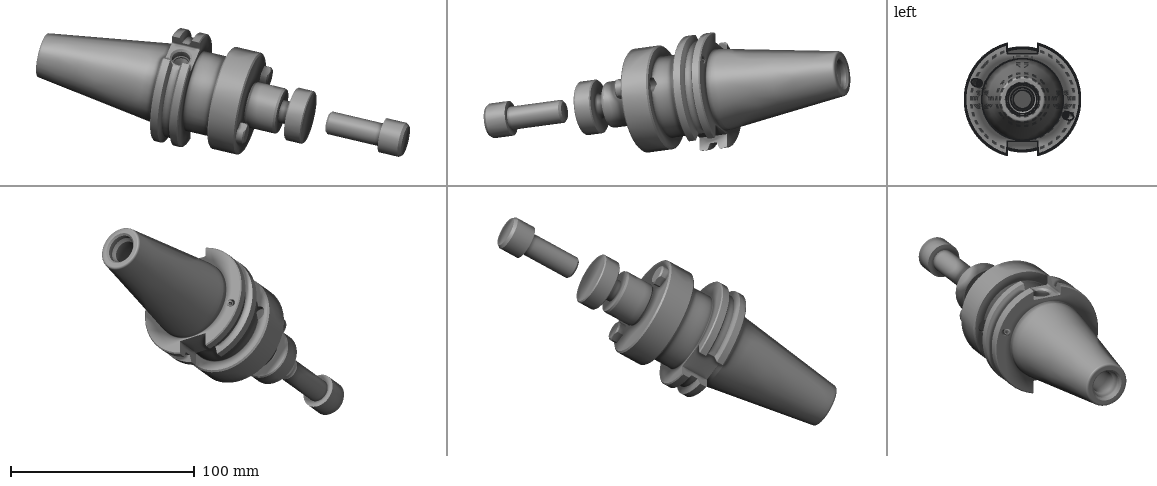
import cadquery as cq
import math


gauge_x = 68.5
gauge_radius = 22.2
neck_radius = 44.6 / 2
taper_slope = 7 / 48
small_end_radius = gauge_radius - taper_slope * gauge_x
small_end_fillet = 1.2

flange_start = 71.5
flange_end = 87.4
flange_radius = 63.3 / 2
flange_chamfer = 0.6
root_fillet = 0.5
groove_x = 79.3
groove_floor_radius = 56.3 / 2
groove_floor_width = 4.0
groove_top_width = 7.0

slot_width = 16.8
top_slot_fillet = 0.8
top_slot_floor = 25.0
bottom_slot_floor = 22.8
marker_hole_x = (flange_start + flange_end) / 2
marker_hole_mouth_radius = 6.0
marker_hole_radius = 5.0
marker_drill_radius = 4.2
marker_drill_depth = 5.5
marker_hole_depth = 4.5

collar_start = 103.2
collar_end = 119.1
collar_radius = 57.0 / 2
collar_chamfer = 0.8
arbor_end = 136.8
arbor_radius = 12.7
arbor_chamfer_length = 1.2
arbor_chamfer_height = 0.5
relief_radius = 12.0
relief_flat_length = 0.6
relief_length = 1.5

bore_mouth_radius = 9.0
bore_radius = 7.9
bore_chamfer = bore_mouth_radius - bore_radius
bore_depth = 4.0
drill_half_angle = 59.0

shank_radius = 12.7 / 2
shank_length = 31.3
shank_tip_chamfer = 1.2
lock_head_start = 142.5
lock_head_end = 152.4
lock_head_radius = 14.7
lock_head_chamfer = 0.6
lock_neck_fillet = 1.2
cap_screw_tip = 163.4
cap_head_end = 207.5
cap_head_radius = 9.5
cap_head_chamfer_length = 1.7
cap_head_chamfer_height = 1.2

key_sides = (1, -1)
key_offset = 21.5
key_radius = 5.6
key_width = 9.5
key_height = 4.4
key_chamfer = 0.8
key_shank_radius = 8.0 / 2
key_shank_end = 105.5
key_shank_chamfer = 0.8
key_hole_end = 102.3

coolant_hole_offset = 26.5
first_coolant_angle = 20.0
coolant_angles = (first_coolant_angle, first_coolant_angle + 180)
coolant_hole_tilt = 45.0
plug_radius = 2.0
plug_chamfer = 0.6
plug_recess = plug_radius - plug_chamfer
plug_length = 4.2
plug_socket_width = 1.9
plug_socket_depth = 2.0


def cone_length(wide_radius, narrow_radius):
    """Length of a drill-point cone between two radii."""
    return (wide_radius - narrow_radius) / math.tan(math.radians(drill_half_angle))


def revolve_about_x(profile):
    """Revolve (x, radius) points about the X axis."""
    return cq.Workplane("XY").polyline(profile).close().revolve(360, (0, 0, 0), (1, 0, 0))


def x_cylinder(start, end, radius):
    return cq.Workplane("YZ", origin=(start, 0, 0)).circle(radius).extrude(end - start)



def holder_blank():
    """Taper, flange, neck, collar and arbor as one turned shape."""
    half_floor = groove_floor_width / 2
    half_top = groove_top_width / 2
    profile = (
        cq.Workplane("XY")
        .moveTo(0, 0)
        .lineTo(0, small_end_radius)
        .lineTo(gauge_x, gauge_radius)
        .lineTo(flange_start - root_fillet, gauge_radius)
        .radiusArc((flange_start, gauge_radius + root_fillet), -root_fillet)
        .lineTo(flange_start, flange_radius - flange_chamfer)
        .lineTo(flange_start + flange_chamfer, flange_radius)
        .lineTo(groove_x - half_top, flange_radius)
        .lineTo(groove_x - half_floor, groove_floor_radius)
        .lineTo(groove_x + half_floor, groove_floor_radius)
        .lineTo(groove_x + half_top, flange_radius)
        .lineTo(flange_end - flange_chamfer, flange_radius)
        .lineTo(flange_end, flange_radius - flange_chamfer)
        .lineTo(flange_end, neck_radius + root_fillet)
        .radiusArc((flange_end + root_fillet, neck_radius), -root_fillet)
        .lineTo(collar_start - root_fillet, neck_radius)
        .radiusArc((collar_start, neck_radius + root_fillet), -root_fillet)
        .lineTo(collar_start, collar_radius - collar_chamfer)
        .lineTo(collar_start + collar_chamfer, collar_radius)
        .lineTo(collar_end - collar_chamfer, collar_radius)
        .lineTo(collar_end, collar_radius - collar_chamfer)
        .lineTo(collar_end, relief_radius)
        .lineTo(collar_end + relief_flat_length, relief_radius)
        .lineTo(collar_end + relief_length, arbor_radius)
        .lineTo(arbor_end - arbor_chamfer_length, arbor_radius)
        .lineTo(arbor_end, arbor_radius - arbor_chamfer_height)
        .lineTo(arbor_end, 0)
        .close()
    )
    blank = profile.revolve(360, (0, 0, 0), (1, 0, 0))
    return blank.faces("<X").edges().fillet(small_end_fillet)


def axial_bore():
    """Chamfered bore in the small end that narrows to the lock screw hole."""
    return revolve_about_x([
        (0, 0),
        (0, bore_mouth_radius),
        (bore_chamfer, bore_radius),
        (bore_depth, bore_radius),
        (bore_depth + bore_radius - shank_radius, shank_radius),
        (arbor_end, shank_radius),
        (arbor_end, 0),
    ])


def driving_slots():
    length = flange_end - flange_start
    depth = flange_radius
    slot = cq.Workplane("XY").box(length, slot_width, depth, centered=(False, True, False))
    top = slot.edges("|X and <Z").fillet(top_slot_fillet).translate((flange_start, 0, top_slot_floor))
    bottom = slot.translate((flange_start, 0, -bottom_slot_floor - depth))
    return top.union(bottom)


def marker_hole():
    """Countersunk, stepped blind hole with a cone bottom, sunk into the floor of the top slot."""
    countersink = marker_hole_mouth_radius - marker_hole_radius
    tip_depth = marker_drill_depth + cone_length(marker_drill_radius, 0)
    profile = [
        (0, 0),
        (marker_hole_mouth_radius, 0),
        (marker_hole_radius, -countersink),
        (marker_hole_radius, -marker_hole_depth),
        (marker_drill_radius, -marker_hole_depth),
        (marker_drill_radius, -marker_drill_depth),
        (0, -tip_depth),
    ]
    hole = cq.Workplane("XZ").polyline(profile).close().revolve(360, (0, 0, 0), (0, 1, 0))
    return hole.translate((marker_hole_x, 0, top_slot_floor))


def key_hole(side):
    """Blind hole for a key shank whose drill point breaks out through the neck."""
    tip = key_hole_end - cone_length(key_shank_radius, 0)
    hole = revolve_about_x([
        (tip, 0),
        (key_hole_end, key_shank_radius),
        (collar_end, key_shank_radius),
        (collar_end, 0),
    ])
    return hole.translate((0, side * key_offset, 0))


def coolant_plane(angle):
    """Plane at the mouth of a coolant hole, its normal tilted outward from the flange face."""
    turn = math.radians(angle)
    tilt = math.radians(coolant_hole_tilt)
    outward = (0, math.cos(turn), math.sin(turn))
    origin = cq.Vector(*outward) * coolant_hole_offset + cq.Vector(flange_start, 0, 0)
    normal = cq.Vector(*outward) * math.sin(tilt) - cq.Vector(math.cos(tilt), 0, 0)
    tangent = cq.Vector(0, -math.sin(turn), math.cos(turn))
    return cq.Plane(origin=origin, xDir=tangent, normal=normal)


def coolant_hole(angle):
    depth = plug_recess + plug_length
    overshoot = 2 * plug_radius
    mouth = cq.Workplane(coolant_plane(angle)).workplane(offset=-depth)
    return mouth.circle(plug_radius).extrude(depth + overshoot)


def make_holder():
    body = holder_blank().cut(axial_bore()).cut(driving_slots()).cut(marker_hole())
    for side in key_sides:
        body = body.cut(key_hole(side))
    for angle in coolant_angles:
        body = body.cut(coolant_hole(angle))
    return body



def make_lock_screw():
    """Disc-headed screw whose shank fills the hole through the arbor."""
    tip = lock_head_start - shank_length
    profile = (
        cq.Workplane("XY")
        .moveTo(tip, 0)
        .lineTo(tip, shank_radius - shank_tip_chamfer)
        .lineTo(tip + shank_tip_chamfer, shank_radius)
        .lineTo(lock_head_start - lock_neck_fillet, shank_radius)
        .radiusArc((lock_head_start, shank_radius + lock_neck_fillet), -lock_neck_fillet)
        .lineTo(lock_head_start, lock_head_radius - lock_head_chamfer)
        .lineTo(lock_head_start + lock_head_chamfer, lock_head_radius)
        .lineTo(lock_head_end - lock_head_chamfer, lock_head_radius)
        .lineTo(lock_head_end, lock_head_radius - lock_head_chamfer)
        .lineTo(lock_head_end, 0)
        .close()
    )
    return profile.revolve(360, (0, 0, 0), (1, 0, 0))


def make_cap_screw():
    head_start = cap_screw_tip + shank_length
    return revolve_about_x([
        (cap_screw_tip, 0),
        (cap_screw_tip, shank_radius - shank_tip_chamfer),
        (cap_screw_tip + shank_tip_chamfer, shank_radius),
        (head_start, shank_radius),
        (head_start, cap_head_radius),
        (cap_head_end - cap_head_chamfer_length, cap_head_radius),
        (cap_head_end, cap_head_radius - cap_head_chamfer_height),
        (cap_head_end, 0),
    ])


def make_key(side):
    """Round key with two flats, on a shank that sits in the collar."""
    head = x_cylinder(collar_end, collar_end + key_height, key_radius)
    head = head.faces(">X").chamfer(key_chamfer)
    flat_sided = cq.Workplane("XY").box(key_height, 2 * key_radius, key_width, centered=(False, True, True))
    flat_sided = flat_sided.translate((collar_end, 0, 0))
    shank = x_cylinder(key_shank_end, collar_end, key_shank_radius)
    shank = shank.faces("<X").chamfer(key_shank_chamfer)
    return head.intersect(flat_sided).union(shank).translate((0, side * key_offset, 0))


def make_plug(angle):
    """Set screw with a hexagon socket that closes a coolant hole."""
    face = cq.Workplane(coolant_plane(angle)).workplane(offset=-plug_recess)
    plug = face.circle(plug_radius).extrude(-plug_length)
    outer_face = cq.selectors.DirectionMinMaxSelector(face.plane.zDir)
    plug = plug.faces(outer_face).chamfer(plug_chamfer)
    socket_diameter = plug_socket_width / math.cos(math.pi / 6)
    return plug.cut(face.polygon(6, socket_diameter).extrude(-plug_socket_depth))


holder = make_holder()
lock_screw = make_lock_screw()
cap_screw = make_cap_screw()
keys = [make_key(side) for side in key_sides]
plugs = [make_plug(angle) for angle in coolant_angles]

result = cq.Compound.makeCompound([
    holder.val(),
    lock_screw.val(),
    cap_screw.val(),
    *[key.val() for key in keys],
    *[plug.val() for plug in plugs],
])